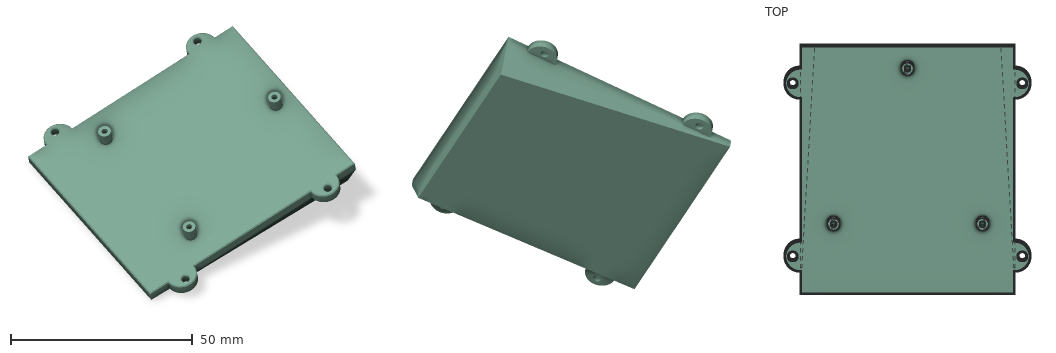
import cadquery as cq
import math

tilt_degrees = 7.5
overall_length = 68.8
plate_width = 59.2
plate_thickness = 3.0
edge_chamfer = 0.3

wedge_side_inset = 4.0

tab_span = 67.85
tab_spacing = 48.05
screw_spacing = 63.2
screw_hole_diameter = 2.2

post_diameter = 3.5
post_height = 4.1
pilot_diameter = 1.65
pilot_depth = post_height
front_post_row = 19.95
rear_post_row = 63.1
front_post_spacing = 41.0
front_post_shift = 0.15

tilt = math.radians(tilt_degrees)
front_overhang = (plate_thickness - edge_chamfer) * math.sin(tilt)
wedge_length = overall_length - front_overhang
wedge_height = wedge_length * math.tan(tilt)
plate_length = wedge_length / math.cos(tilt)
front_edge_y = front_overhang - overall_length / 2

tab_radius = (tab_span - plate_width) / 2
tab_rows = [(plate_length - tab_spacing) / 2, (plate_length + tab_spacing) / 2]
tab_centers = [(side * plate_width / 2, row) for side in (-1, 1) for row in tab_rows]
screw_centers = [(side * screw_spacing / 2, row) for side in (-1, 1) for row in tab_rows]
post_centers = [
    (front_post_shift - front_post_spacing / 2, front_post_row),
    (front_post_shift + front_post_spacing / 2, front_post_row),
    (0, rear_post_row),
]


def cylinders(centers, diameter, bottom, height):
    """Cylinders square to the plate at the given places."""
    base = cq.Workplane("XY", origin=(0, 0, bottom))
    return base.pushPoints(centers).circle(diameter / 2).extrude(height)


def make_plate():
    """Level plate with tabs and screw holes; every upper edge is chamfered."""
    plate = cq.Workplane("XY").box(plate_width, plate_length, plate_thickness, centered=(True, False, False))
    plate = plate.union(cylinders(tab_centers, 2 * tab_radius, 0, plate_thickness))
    plate = plate.cut(cylinders(screw_centers, screw_hole_diameter, 0, plate_thickness))
    return plate.faces(">Z").edges().chamfer(edge_chamfer)


def add_posts(plate):
    """Posts on the upper face, each drilled from its top."""
    post_top = plate_thickness + post_height
    posts = cylinders(post_centers, post_diameter, plate_thickness, post_height)
    pilots = cylinders(post_centers, pilot_diameter, post_top - pilot_depth, pilot_depth)
    return plate.union(posts).cut(pilots)


def tilt_up(body):
    """Swing a body about the lower front edge of the plate."""
    return body.rotate((0, 0, 0), (1, 0, 0), tilt_degrees)


def make_wedge():
    """Support with a level base, a vertical rear face and sides leaning inward from the plate."""
    keel_depth = wedge_height * math.cos(tilt)
    keel_length = plate_length + keel_depth
    top_half = plate_width / 2
    bottom_half = top_half - wedge_side_inset
    keel = (
        cq.Workplane("XZ")
        .polyline([(-top_half, 0), (top_half, 0), (bottom_half, -keel_depth), (-bottom_half, -keel_depth)])
        .close()
        .extrude(-keel_length)
    )
    side_profile = (
        cq.Workplane("YZ")
        .polyline([(0, 0), (wedge_length, 0), (wedge_length, wedge_height)])
        .close()
        .extrude(top_half, both=True)
    )
    return tilt_up(keel).intersect(side_profile)


body = tilt_up(add_posts(make_plate())).union(make_wedge())
result = body.translate((0, front_edge_y, 0))